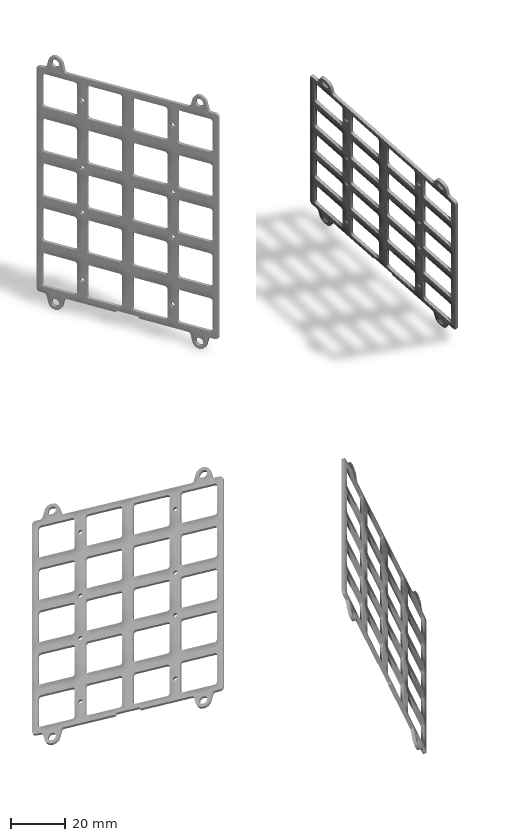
import cadquery as cq
import math

plate_width = 76.7
plate_height = 95.9
thickness = 1.2
corner_radius = 1.4

columns = 4
rows = 5
pitch = 19.1
window_width = 14.8
window_height = 14.1
window_corner_radius = 1.1

overall_height = 107.8
tab_spacing = 60.8
tab_radius = 3.0
tab_hole_diameter = 3.2
tab_side_angle = math.radians(15)
tab_root_radius = 1.1
tab_overlap = 1.1
tab_x = tab_spacing / 2
tab_z = overall_height / 2 - tab_radius

screw_hole_diameter = 1.7
screw_x = pitch
screw_heights = (pitch / 2, 2 * pitch)

relief_width = 9.6
relief_depth = 0.8
relief_radius = 0.37


def sketch_plane():
    """XZ workplane through the middle of the thickness."""
    return cq.Workplane("XZ")


def slab(outline):
    """Extrude a closed outline to the plate thickness, centred on Y = 0."""
    return outline.extrude(thickness / 2, both=True)


def make_tab(center_x, side):
    """Tapered round-ended tab and the (x, z) points where its sides meet the plate edge.

    side is +1 for the top edge, -1 for the bottom edge.
    """
    tangent_x = tab_radius * math.cos(tab_side_angle)
    tangent_z = tab_z + tab_radius * math.sin(tab_side_angle)
    root_z = plate_height / 2
    root_x = tangent_x + (tangent_z - root_z) * math.tan(tab_side_angle)
    base_z = root_z - tab_overlap
    outline = (
        sketch_plane()
        .moveTo(center_x - root_x, side * base_z)
        .lineTo(center_x - root_x, side * root_z)
        .lineTo(center_x - tangent_x, side * tangent_z)
        .threePointArc(
            (center_x, side * overall_height / 2),
            (center_x + tangent_x, side * tangent_z),
        )
        .lineTo(center_x + root_x, side * root_z)
        .lineTo(center_x + root_x, side * base_z)
        .close()
    )
    roots = [(center_x - root_x, side * root_z), (center_x + root_x, side * root_z)]
    return slab(outline), roots


def edges_along_y(body, points):
    """Select the through-thickness edges that pass through the given (x, z) points."""
    reach = 0.05
    picked = body.newObject([])
    for x, z in points:
        box = cq.selectors.BoxSelector(
            (x - reach, -thickness, z - reach),
            (x + reach, thickness, z + reach),
        )
        picked = picked.add(body.edges("|Y").edges(box))
    return picked


body = slab(sketch_plane().rect(plate_width, plate_height)).edges("|Y").fillet(corner_radius)

tab_roots = []
for tab_side in (1, -1):
    for tab_center in (-tab_x, tab_x):
        tab, roots = make_tab(tab_center, tab_side)
        body = body.union(tab)
        tab_roots += roots
body = edges_along_y(body, tab_roots).fillet(tab_root_radius)

bottom_z = -plate_height / 2
body = body.cut(slab(sketch_plane().center(0, bottom_z).rect(relief_width, 2 * relief_depth)))
relief_corners = [
    (x, z)
    for x in (-relief_width / 2, relief_width / 2)
    for z in (bottom_z, bottom_z + relief_depth)
]
body = edges_along_y(body, relief_corners).fillet(relief_radius)

windows = slab(
    sketch_plane().rarray(pitch, pitch, columns, rows).rect(window_width, window_height)
).edges("|Y").fillet(window_corner_radius)
body = body.cut(windows)

tab_holes = sketch_plane().rect(2 * tab_x, 2 * tab_z, forConstruction=True).vertices()
body = body.cut(slab(tab_holes.circle(tab_hole_diameter / 2)))
for height in screw_heights:
    screw_holes = sketch_plane().rect(2 * screw_x, 2 * height, forConstruction=True).vertices()
    body = body.cut(slab(screw_holes.circle(screw_hole_diameter / 2)))

result = body